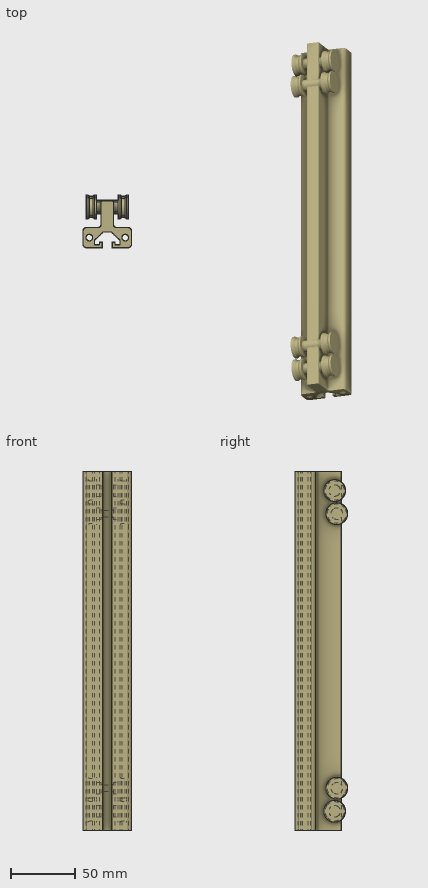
import cadquery as cq

length = 280.0
base_width = 38.0
base_height = 16.0
base_corner_radius = 3.0
web_width = 10.0
web_top = 36.5
web_root_radius = 2.0
web_tip_radius = 1.0

slot_opening = 7.5
slot_inner_width = 19.5
slot_floor = 2.5
slot_shoulder = 6.0
slot_top = 12.3
slot_top_width = 6.5
lip_width = 2.3
lip_height = 4.5

screw_hole_diameter = 5.0
screw_hole_spacing = 28.0
screw_hole_y = 8.0

boss_diameter = 9.0
flange_diameter = 17.0
tread_diameter = 15.0
roller_inner_x = 8.5
roller_width = 8.0
flange_width = 1.4
flank_width = 1.35
outer_roller_end_distance = 15.0
roller_pitch = 18.0
inner_roller_y = 32.8
outer_roller_y = 31.1


def rail_body():
    base = (
        cq.Workplane("XY")
        .rect(base_width, base_height)
        .extrude(length)
        .translate((0, base_height / 2, 0))
        .edges("|Z")
        .fillet(base_corner_radius)
    )
    web_height = web_top - base_height / 2
    web = (
        cq.Workplane("XY")
        .center(0, web_top - web_height / 2)
        .rect(web_width, web_height)
        .extrude(length)
        .edges("|Z and >Y")
        .fillet(web_tip_radius)
    )
    body = base.union(web)
    half_web = web_width / 2
    margin = 0.1
    root_edges = cq.selectors.BoxSelector(
        (-half_web - margin, base_height - margin, -margin),
        (half_web + margin, base_height + margin, length + margin),
    )
    return body.edges("|Z").edges(root_edges).fillet(web_root_radius)


def t_slot():
    half_opening = slot_opening / 2
    half_inner = slot_inner_width / 2
    half_top = slot_top_width / 2
    lip_outer = half_opening + lip_width
    right_side = [
        (half_opening, 0),
        (half_opening, lip_height),
        (lip_outer, lip_height),
        (lip_outer, slot_floor),
        (half_inner, slot_floor),
        (half_inner, slot_shoulder),
        (half_top, slot_top),
    ]
    left_side = [(-x, y) for x, y in reversed(right_side)]
    return cq.Workplane("XY").polyline(right_side + left_side).close().extrude(length)


def screw_holes():
    half_spacing = screw_hole_spacing / 2
    return (
        cq.Workplane("XY")
        .pushPoints([(-half_spacing, screw_hole_y), (half_spacing, screw_hole_y)])
        .circle(screw_hole_diameter / 2)
        .extrude(length)
    )


def roller(side, y, z):
    """Roller and boss on the +X (side=1) or -X (side=-1) face of the web."""
    boss_r = boss_diameter / 2
    flange_r = flange_diameter / 2
    tread_r = tread_diameter / 2
    roller_outer_x = roller_inner_x + roller_width
    profile = [
        (0, 0),
        (0, boss_r),
        (roller_inner_x, boss_r),
        (roller_inner_x, flange_r),
        (roller_inner_x + flange_width, flange_r),
        (roller_inner_x + flange_width + flank_width, tread_r),
        (roller_outer_x - flange_width - flank_width, tread_r),
        (roller_outer_x - flange_width, flange_r),
        (roller_outer_x, flange_r),
        (roller_outer_x, 0),
    ]
    outline = [(side * x, r) for x, r in profile]
    return (
        cq.Workplane("XY")
        .polyline(outline)
        .close()
        .revolve(360, (0, 0, 0), (1, 0, 0))
        .translate((0, y, z))
    )


result = rail_body().cut(t_slot()).cut(screw_holes())
inner_roller_end_distance = outer_roller_end_distance + roller_pitch
for side in (-1, 1):
    for y, end_distance in (
        (outer_roller_y, outer_roller_end_distance),
        (inner_roller_y, inner_roller_end_distance),
    ):
        for z in (end_distance, length - end_distance):
            result = result.union(roller(side, y, z))